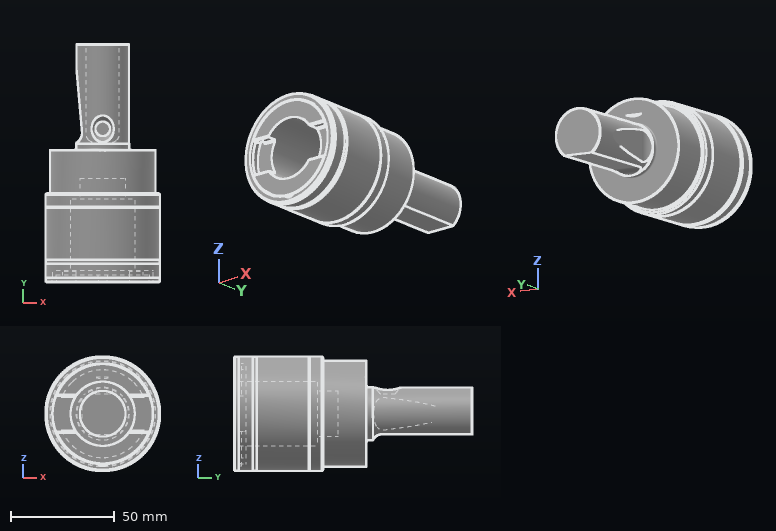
import cadquery as cq
import math

total_length = 114.5

sleeve_radius = 27.65
sleeve_length = 43.0
sleeve_back_chamfer = 0.95
lip_step = 0.2
lip_radius = sleeve_radius - lip_step
lip_length = 2.0
lip_chamfer = 0.5
band_start = 9.0
band_end = 10.7
band_depth = 0.2
seam_position = 36.1
seam_width = 0.5
seam_depth = 0.15

collar_radius = 25.5
collar_end = 63.7
collar_chamfer = 0.25

shank_radius = 12.7
shank_chamfer = 0.3
root_radius = 12.8
root_end = 66.8
root_chamfer = 0.3
root_fillet = 0.8

flat_height = 9.9
flat_end = 71.2
flat_run_out = 5.0
taper_angle = 5.0
taper_deep_end = 72.3
taper_depth = 2.68
taper_run_out = 5.5
dimple_position = 73.8
dimple_bottom_radius = 3.5
dimple_mouth_radius = 6.4
dimple_half_angle = 42.0

bore_radius = 15.45
bore_depth = 40.0
inner_bore_radius = 11.0
inner_bore_depth = 50.0

plate_radius = 24.1
plate_thickness = 3.6
plate_gap_width = 0.4
plate_gap_depth = 2.2
slot_half_width = 8.6
slot_depth = 5.7
slot_chamfer = 0.6
ring_inner_radius = 21.2
key_radius = 2.7
key_center = 22.5

cut_margin = 5.0


def disc(radius, start, length):
    """Cylinder about the Y axis reaching from y = start to y = start + length."""
    return cq.Workplane("XZ", origin=(0, start, 0)).circle(radius).extrude(-length)


def ring(inner, outer, start, length):
    """Tube about the Y axis."""
    return disc(outer, start, length).cut(disc(inner, start, length))


def make_body():
    """Revolve the outer profile of sleeve, collar and shank."""
    seam_floor = sleeve_radius - seam_depth
    band_floor = sleeve_radius - band_depth
    fillet_sag = root_fillet * (1 - math.sqrt(0.5))
    profile = (
        cq.Workplane("XY")
        .moveTo(0, 0)
        .lineTo(lip_radius - lip_chamfer, 0)
        .lineTo(lip_radius, lip_chamfer)
        .lineTo(lip_radius, lip_length)
        .lineTo(sleeve_radius, lip_length + lip_step)
        .lineTo(sleeve_radius, band_start - band_depth)
        .lineTo(band_floor, band_start)
        .lineTo(band_floor, band_end)
        .lineTo(sleeve_radius, band_end + band_depth)
        .lineTo(sleeve_radius, seam_position - seam_width / 2)
        .lineTo(seam_floor, seam_position)
        .lineTo(sleeve_radius, seam_position + seam_width / 2)
        .lineTo(sleeve_radius, sleeve_length - sleeve_back_chamfer)
        .lineTo(sleeve_radius - sleeve_back_chamfer, sleeve_length)
        .lineTo(collar_radius, sleeve_length)
        .lineTo(collar_radius, collar_end - collar_chamfer)
        .lineTo(collar_radius - collar_chamfer, collar_end)
        .lineTo(root_radius + root_fillet, collar_end)
        .threePointArc(
            (root_radius + fillet_sag, collar_end + fillet_sag),
            (root_radius, collar_end + root_fillet),
        )
        .lineTo(root_radius, root_end - root_chamfer)
        .lineTo(shank_radius, root_end)
        .lineTo(shank_radius, total_length - shank_chamfer)
        .lineTo(shank_radius - shank_chamfer, total_length)
        .lineTo(0, total_length)
        .close()
    )
    return profile.revolve(360, (0, 0, 0), (0, 1, 0))


def run_out_cutter(flat_offset, deep_end, run_out_radius, slope):
    """Cutter for a flat on the low side of the local (y, height) plane.

    The flat starts at deep_end, rises outward toward the tip by the slope angle,
    and leaves the shank through a tangent arc on the collar side.
    """
    angle = math.radians(slope)
    center_y = deep_end - run_out_radius * math.sin(angle)
    center_height = -flat_offset - run_out_radius * math.cos(angle)
    arc_point_angle = math.radians(45)
    tip_y = total_length + cut_margin
    tip_height = -flat_offset - (tip_y - deep_end) * math.tan(angle)
    low = center_height - cut_margin
    return (
        cq.Workplane("YZ")
        .moveTo(deep_end, -flat_offset)
        .lineTo(tip_y, tip_height)
        .lineTo(tip_y, low)
        .lineTo(center_y - run_out_radius, low)
        .lineTo(center_y - run_out_radius, center_height)
        .threePointArc(
            (
                center_y - run_out_radius * math.sin(arc_point_angle),
                center_height + run_out_radius * math.cos(arc_point_angle),
            ),
            (deep_end, -flat_offset),
        )
        .close()
        .extrude(shank_radius, both=True)
    )


def make_bottom_flat():
    """Flat along the underside of the shank."""
    return run_out_cutter(flat_height, flat_end, flat_run_out, 0)


def make_tapered_flat():
    """Inclined clamping flat on the -X side of the shank."""
    cutter = run_out_cutter(shank_radius - taper_depth, taper_deep_end, taper_run_out, taper_angle)
    return cutter.rotate((0, 0, 0), (0, 1, 0), 90)


def make_dimple():
    """Conical clamping-screw seat with a flat bottom on top of the shank."""
    slope = math.tan(math.radians(dimple_half_angle))
    bottom = shank_radius - (dimple_mouth_radius - dimple_bottom_radius) / slope
    rim = shank_radius + cut_margin
    rim_radius = dimple_bottom_radius + (rim - bottom) * slope
    cone = cq.Solid.makeCone(
        dimple_bottom_radius,
        rim_radius,
        rim - bottom,
        pnt=cq.Vector(0, dimple_position, bottom),
        dir=cq.Vector(0, 0, 1),
    )
    return cq.Workplane(cone)


def make_drive_slot():
    """Cross slot with a chamfered mouth, confined to the drive plate."""
    edge = slot_half_width + slot_chamfer
    foot = slot_half_width - slot_chamfer
    outline = [
        (0, edge),
        (slot_chamfer, slot_half_width),
        (slot_depth - slot_chamfer, slot_half_width),
        (slot_depth, foot),
    ]
    mirrored = [(y, -z) for y, z in reversed(outline)]
    slot = cq.Workplane("YZ").polyline(outline + mirrored).close().extrude(plate_radius, both=True)
    return slot.intersect(disc(plate_radius, 0, slot_depth))


def make_key_notch():
    """Half-round notch in the sleeve just below the drive plate."""
    notch = cq.Workplane("XZ").center(0, -key_center).circle(key_radius).extrude(-plate_thickness)
    return notch.cut(disc(plate_radius, 0, plate_thickness))


def make_joint_gap():
    """Fine gap between the drive plate and the sleeve."""
    half_gap = plate_gap_width / 2
    return ring(plate_radius - half_gap, plate_radius + half_gap, 0, plate_gap_depth)


def make_ring_groove():
    """Internal ring groove behind the drive plate, as deep as the drive slot."""
    return ring(ring_inner_radius, plate_radius, plate_thickness, slot_depth - plate_thickness)


cutters = [
    make_bottom_flat(),
    make_tapered_flat(),
    make_dimple(),
    disc(bore_radius, 0, bore_depth),
    disc(inner_bore_radius, bore_depth, inner_bore_depth - bore_depth),
    make_drive_slot(),
    make_key_notch(),
    make_joint_gap(),
    make_ring_groove(),
]

result = make_body()
for cutter in cutters:
    result = result.cut(cutter)